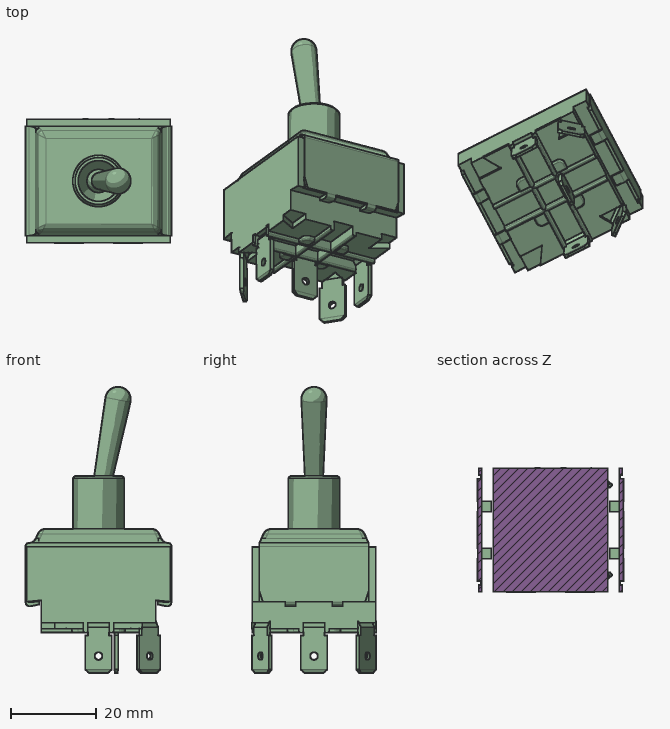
import cadquery as cq
import math


total_height = 66.65
base_z = 11.8
skirt_z = 10.4
rib_z = 9.4
housing_top_z = 29.4
cover_shoulder_z = 30.3
cover_top_z = 33.6
bushing_top_z = 45.9

housing_length = 33.45
housing_width = 28.8
lower_length = 26.65
wing_inner_z = 16.9
wing_outer_z = 16.6

skirt_front_reach = 0.1
corner_pocket_x = 10.2
corner_pocket_y = 10.3
corner_pocket_undercut = 2.65
channel_width = 5.0
rib_width = 1.0
lower_edge_radius = 0.4
boss_side = 12.4
boss_corner_radius = 1.3

cover_length = 34.0
cover_width = 25.5
cover_sheet = 0.7
cover_bend_radius = 0.8
leg_taper_width = 0.85
leg_taper_height = 2.65
cap_length = 30.1
cap_width = 25.4
cap_draft = 24.0
cap_corner_radius = 1.0
cap_top_radius = 2.0
cap_foot_radius = 1.7

tab_width = 2.5
tab_center_y = 5.45
tab_tip_x = 13.7
tab_tip_top_z = 16.65
tab_tip_bottom_z = 16.0
tab_bend_radius = 1.05

bushing_diameter = 12.0
bushing_chamfer = 0.5
bore_mouth_diameter = 9.45
pivot_diameter = 5.4
pivot_z = 39.65
knob_diameter = 6.0
knob_x = 4.5
lever_root_diameter = 3.8

blade_width = 6.25
blade_thickness = 0.9
blade_shoulder_z = 8.8
blade_tip_width = 4.3
blade_tip_thickness = 0.6
blade_tip_height = 0.9
blade_hole_diameter = 1.7
blade_hole_z = 4.0
neck_width = 5.0
neck_bend_z = 10.7
neck_lean = 0.65
side_terminal_y = 13.25
end_terminal_x = 4.1
corner_terminal_x = 11.65
corner_terminal_y = 12.1
corner_terminal_angle = 39.0

overlap = 0.3


def block(length, width, bottom, top):
    """Box centred on the Z axis between two heights."""
    return cq.Workplane("XY").workplane(offset=bottom).rect(length, width).extrude(top - bottom)


def make_housing():
    """Block with side wings, recessed at both ends for the legs of the cover."""
    x_low = lower_length / 2
    x_wing = housing_length / 2
    outline = [
        (-x_low, base_z), (x_low, base_z), (x_low, wing_inner_z),
        (x_wing, wing_outer_z), (x_wing, housing_top_z),
        (-x_wing, housing_top_z), (-x_wing, wing_outer_z), (-x_low, wing_inner_z),
    ]
    housing = cq.Workplane("XZ").polyline(outline).close().extrude(housing_width / 2, both=True)
    for side in (-1, 1):
        recess = block(2 * cover_sheet, cover_width, base_z, housing_top_z)
        housing = housing.cut(recess.translate((side * cover_length / 2, 0, 0)))
    return housing


def make_rib(length):
    """Rib along Y with rounded lower edges, reaching into the housing."""
    return block(rib_width, length, rib_z, base_z + overlap).edges("|Y and <Z").fillet(lower_edge_radius)


def make_underside():
    """Skirt with corner pockets, crossed by terminal channels, ribs beside them and four bosses between."""
    half_x = lower_length / 2
    half_y = housing_width / 2
    skirt = block(lower_length, housing_width, skirt_z, base_z + overlap)
    lip = block(lower_length, skirt_front_reach, skirt_z, base_z)
    skirt = skirt.union(lip.translate((0, -half_y - skirt_front_reach / 2, 0)))

    pocket_height = base_z - skirt_z
    outside = half_y + 2 * skirt_front_reach
    for sx in (-1, 1):
        for sy in (-1, 1):
            corners = [
                (sx * half_x, sy * outside), (sx * corner_pocket_x, sy * outside),
                (sx * (corner_pocket_x - corner_pocket_undercut), sy * corner_pocket_y),
                (sx * half_x, sy * corner_pocket_y),
            ]
            pocket = cq.Workplane("XY").workplane(offset=skirt_z).polyline(corners).close()
            skirt = skirt.cut(pocket.extrude(pocket_height))

    boss = block(boss_side, boss_side, rib_z, base_z + overlap).edges("|Z").fillet(boss_corner_radius)
    skirt = skirt.union(boss.faces("<Z").edges().fillet(lower_edge_radius))

    ribbed_width = channel_width + 2 * rib_width
    skirt = skirt.cut(block(ribbed_width, 2 * outside, rib_z, base_z))
    skirt = skirt.cut(block(2 * half_x, ribbed_width, rib_z, base_z))

    rib_offset = (channel_width + rib_width) / 2
    for side in (-1, 1):
        long_rib = make_rib(housing_width + skirt_front_reach)
        skirt = skirt.union(long_rib.translate((side * rib_offset, skirt_front_reach / 2, 0)))
        cross_rib = make_rib(lower_length).rotate((0, 0, 0), (0, 0, 1), 90)
        skirt = skirt.union(cross_rib.translate((0, side * rib_offset, 0)))
    return skirt


def make_tab():
    """Tab folded inwards under the +X leg, centred on Y = 0."""
    outer_x = cover_length / 2
    inner_x = outer_x - cover_sheet
    center_x = outer_x - tab_bend_radius
    heel_z = wing_outer_z - tab_bend_radius
    diagonal = tab_bend_radius * math.sqrt(0.5)
    side = (cq.Workplane("XZ").moveTo(tab_tip_x, tab_tip_top_z).lineTo(tab_tip_x, tab_tip_bottom_z)
            .lineTo(center_x, heel_z)
            .threePointArc((center_x + diagonal, wing_outer_z - diagonal), (outer_x, wing_outer_z))
            .lineTo(outer_x, wing_outer_z + overlap).lineTo(inner_x, wing_outer_z + overlap)
            .lineTo(inner_x, wing_outer_z).close())
    return side.extrude(tab_width / 2, both=True)


def make_cover():
    """Cap over the housing with a raised drafted top, two end legs and four tabs."""
    cover = block(cover_length, cover_width, wing_outer_z, cover_shoulder_z)
    cover = cover.edges("|Y and >Z").fillet(cover_bend_radius)
    inner_length = cover_length - 2 * cover_sheet
    cover = cover.cut(block(inner_length, cover_width, wing_outer_z, housing_top_z))

    cap_height = cover_top_z - cover_shoulder_z
    cap = cq.Workplane("XY").workplane(offset=cover_shoulder_z).rect(cap_length, cap_width)
    cap = cap.extrude(cap_height, taper=cap_draft)
    cap = cap.faces(">Z").edges().fillet(cap_top_radius)
    cap = cap.edges("%LINE and (not #Z)").fillet(cap_corner_radius)
    cover = cover.union(cap)

    draft = math.radians(cap_draft)
    slope = math.pi / 2 - draft
    reach = cap_foot_radius * math.tan(slope / 2)
    foot_x = cap_length / 2
    tangent = (foot_x - reach * math.sin(draft), cover_shoulder_z + reach * math.cos(draft))
    center = (foot_x + reach, cover_shoulder_z + cap_foot_radius)
    mid_angle = -math.pi / 2 - slope / 2
    middle = (center[0] + cap_foot_radius * math.cos(mid_angle),
              center[1] + cap_foot_radius * math.sin(mid_angle))
    sweep = (cq.Workplane("XZ").moveTo(foot_x - reach, cover_shoulder_z - overlap)
             .lineTo(foot_x - reach, tangent[1]).lineTo(*tangent)
             .threePointArc(middle, (foot_x + reach, cover_shoulder_z))
             .lineTo(foot_x + reach, cover_shoulder_z - overlap).close()
             .extrude(cap_width / 2, both=True))
    y_foot = cap_width / 2
    y_inner = y_foot - cap_foot_radius * math.tan(draft)
    end_limit = (cq.Workplane("YZ")
                 .polyline([(-y_foot, cover_shoulder_z - overlap), (y_foot, cover_shoulder_z - overlap),
                            (y_foot, cover_shoulder_z),
                            (y_inner, cover_shoulder_z + cap_foot_radius),
                            (-y_inner, cover_shoulder_z + cap_foot_radius),
                            (-y_foot, cover_shoulder_z)])
                 .close().extrude(cover_length / 2))
    sweep = sweep.intersect(end_limit)
    cover = cover.union(sweep).union(sweep.mirror("YZ"))

    half_y = cover_width / 2
    for side in (-1, 1):
        corner = [(side * half_y, wing_outer_z), (side * (half_y - leg_taper_width), wing_outer_z),
                  (side * half_y, wing_outer_z + leg_taper_height)]
        trim = cq.Workplane("YZ").polyline(corner).close().extrude(cover_length / 2, both=True)
        cover = cover.cut(trim)

    for y in (-tab_center_y, tab_center_y):
        tab = make_tab().translate((0, y, 0))
        cover = cover.union(tab).union(tab.mirror("YZ"))
    return cover


def make_bushing():
    """Round bushing with a conical mouth that narrows to the lever pivot."""
    bushing = (cq.Workplane("XY").workplane(offset=cover_top_z - overlap).circle(bushing_diameter / 2)
               .extrude(bushing_top_z - cover_top_z + overlap).faces(">Z").chamfer(bushing_chamfer))
    mouth = (cq.Workplane("XZ")
             .polyline([(0, pivot_z), (pivot_diameter / 2, pivot_z),
                        (bore_mouth_diameter / 2, bushing_top_z), (0, bushing_top_z)])
             .close().revolve(360, (0, 0, 0), (0, 1, 0)))
    return bushing.cut(mouth)


def make_lever():
    """Pivot ball, tapered shaft and round knob, tilted towards +X."""
    knob_radius = knob_diameter / 2
    knob_rise = total_height - knob_radius - pivot_z
    shaft_length = math.hypot(knob_x, knob_rise)
    shaft = (cq.Workplane("XZ").moveTo(0, 0).lineTo(lever_root_diameter / 2, 0)
             .lineTo(knob_radius, shaft_length)
             .threePointArc((knob_radius * math.sqrt(0.5), shaft_length + knob_radius * math.sqrt(0.5)),
                            (0, shaft_length + knob_radius))
             .close().revolve(360, (0, 0, 0), (0, 1, 0)))
    tilt = math.degrees(math.atan2(knob_x, knob_rise))
    lever = shaft.rotate((0, 0, 0), (0, 1, 0), tilt)
    return lever.union(cq.Workplane("XY").sphere(pivot_diameter / 2)).translate((0, 0, pivot_z))


def make_terminal():
    """Blade facing -Y with a bevelled tip, a hole and a neck that leans inwards at the top."""
    half_t = blade_thickness / 2
    tip_t = blade_tip_thickness / 2
    neck_top = base_z + overlap
    lean = neck_lean * (neck_top - neck_bend_z) / (base_z - neck_bend_z)
    side = [
        (-tip_t, 0), (tip_t, 0), (half_t, blade_tip_height), (half_t, neck_bend_z),
        (half_t + lean, neck_top), (-half_t + lean, neck_top),
        (-half_t, neck_bend_z), (-half_t, blade_tip_height),
    ]
    half_w = blade_width / 2
    half_neck = neck_width / 2
    half_tip = blade_tip_width / 2
    face = [
        (-half_tip, 0), (half_tip, 0), (half_w, blade_tip_height), (half_w, blade_shoulder_z),
        (half_neck, blade_shoulder_z), (half_neck, neck_top), (-half_neck, neck_top),
        (-half_neck, blade_shoulder_z), (-half_w, blade_shoulder_z), (-half_w, blade_tip_height),
    ]
    blade = cq.Workplane("YZ").polyline(side).close().extrude(half_w, both=True)
    blade = blade.intersect(cq.Workplane("XZ").polyline(face).close().extrude(blade_width, both=True))
    hole = cq.Workplane("XZ").center(0, blade_hole_z).circle(blade_hole_diameter / 2)
    return blade.cut(hole.extrude(blade_thickness, both=True))


terminal_places = [
    (0, -side_terminal_y, 0),
    (0, side_terminal_y, 180),
    (end_terminal_x, 0, 90),
    (corner_terminal_x, -corner_terminal_y, corner_terminal_angle),
    (corner_terminal_x, corner_terminal_y, 180 - corner_terminal_angle),
]

result = make_housing().union(make_underside()).union(make_cover())
result = result.union(make_bushing()).union(make_lever())
for place_x, place_y, turn in terminal_places:
    terminal = make_terminal().rotate((0, 0, 0), (0, 0, 1), turn)
    result = result.union(terminal.translate((place_x, place_y, 0)))